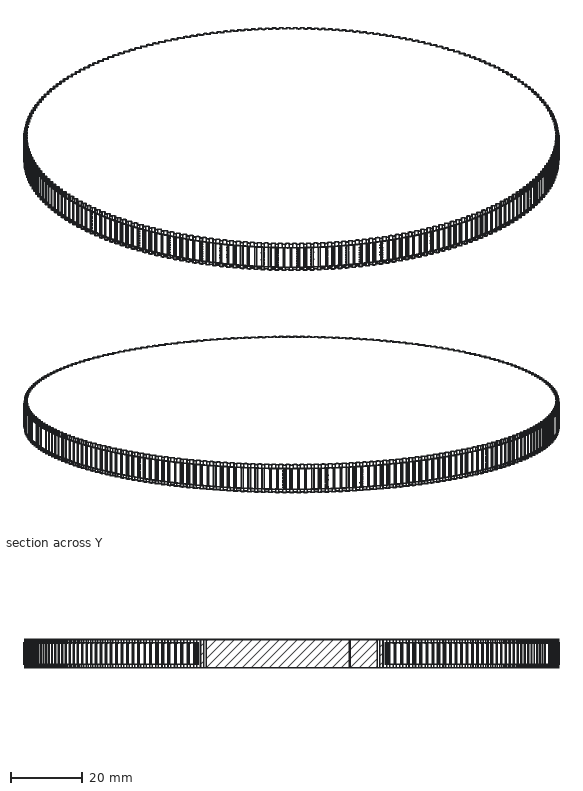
import cadquery as cq
import math

band_diameter = 150.9
thickness = 8.0
groove_count = 237
groove_width = 1.12
groove_depth = 0.8
mouth_fillet = 0.21
band_thickness = 0.25
band_inset = 1.0

band_radius = band_diameter / 2
band_height = thickness - 2 * band_inset
tip_radius = band_radius - band_thickness
floor_radius = tip_radius - groove_depth
half_width = groove_width / 2
pitch_angle = 2 * math.pi / groove_count
axis_start = cq.Vector(0, 0, 0)
axis_end = cq.Vector(0, 0, 1)


def tip_point(angle):
    """Point on the circle of the tooth tips."""
    return cq.Vector(tip_radius * math.cos(angle), tip_radius * math.sin(angle))


def make_tooth_pitch():
    """One groove, centred on -Y, and the tooth tip that follows it, as a chain of edges.

    The groove has a round floor, straight walls and a rounded mouth.
    """
    fillet_x = half_width + mouth_fillet
    fillet_y = -math.sqrt((tip_radius - mouth_fillet) ** 2 - fillet_x**2)
    tip_start_angle = math.atan2(fillet_y, fillet_x)
    fillet_middle_angle = (tip_start_angle - math.pi) / 2
    fillet_middle_x = fillet_x + mouth_fillet * math.cos(fillet_middle_angle)
    fillet_middle_y = fillet_y + mouth_fillet * math.sin(fillet_middle_angle)
    floor_arc_end_y = -floor_radius - half_width

    tip_middle_angle = -math.pi / 2 + pitch_angle / 2
    tip_end_angle = 2 * tip_middle_angle - tip_start_angle

    left_tip = tip_point(-math.pi - tip_start_angle)
    left_fillet_middle = cq.Vector(-fillet_middle_x, fillet_middle_y)
    left_wall_top = cq.Vector(-half_width, fillet_y)
    left_floor = cq.Vector(-half_width, floor_arc_end_y)
    floor_middle = cq.Vector(0, -floor_radius)
    right_floor = cq.Vector(half_width, floor_arc_end_y)
    right_wall_top = cq.Vector(half_width, fillet_y)
    right_fillet_middle = cq.Vector(fillet_middle_x, fillet_middle_y)
    right_tip = tip_point(tip_start_angle)
    tip_middle = tip_point(tip_middle_angle)
    next_tip = tip_point(tip_end_angle)

    return [
        cq.Edge.makeThreePointArc(left_tip, left_fillet_middle, left_wall_top),
        cq.Edge.makeLine(left_wall_top, left_floor),
        cq.Edge.makeThreePointArc(left_floor, floor_middle, right_floor),
        cq.Edge.makeLine(right_floor, right_wall_top),
        cq.Edge.makeThreePointArc(right_wall_top, right_fillet_middle, right_tip),
        cq.Edge.makeThreePointArc(right_tip, tip_middle, next_tip),
    ]


def make_toothed_disc():
    """Disc with the axial grooves spaced evenly round its rim."""
    tooth_pitch = make_tooth_pitch()
    outline = []
    for i in range(groove_count):
        turn = math.degrees(i * pitch_angle)
        outline += [edge.rotate(axis_start, axis_end, turn) for edge in tooth_pitch]
    wire = cq.Wire.assembleEdges(outline)
    return cq.Workplane(cq.Solid.extrudeLinear(wire, [], cq.Vector(0, 0, thickness)))


def make_band():
    """Thin band round the tooth tips, centred on the thickness, that closes the grooves."""
    return (
        cq.Workplane("XY")
        .workplane(offset=band_inset)
        .circle(band_radius)
        .circle(tip_radius)
        .extrude(band_height)
    )


result = make_toothed_disc().union(make_band())